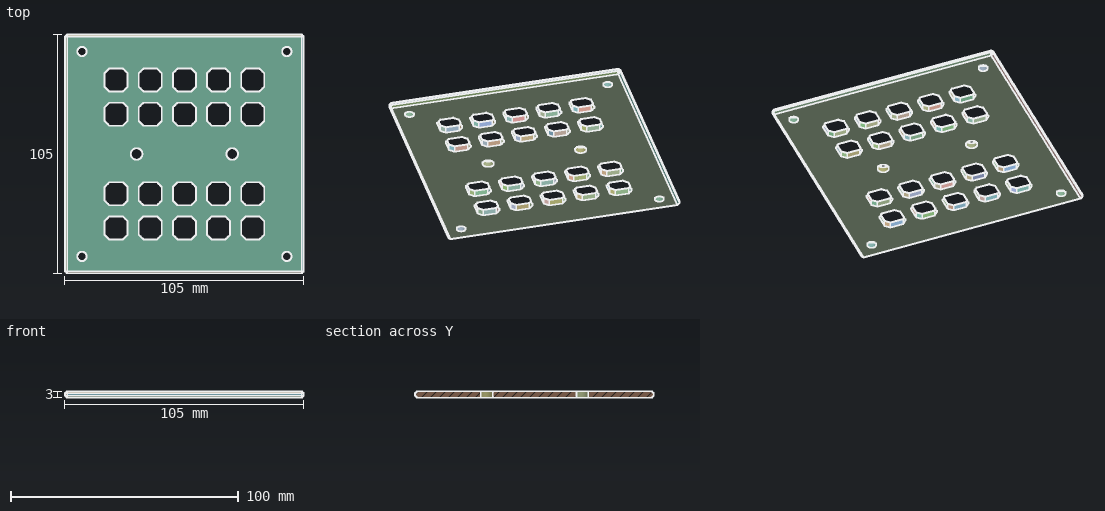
import cadquery as cq

plate_side = 105.0
plate_thickness = 3.0
edge_chamfer = 1.0

corner_hole_diameter = 4.0
corner_hole_inset = 7.5
corner_hole_spacing = plate_side - 2 * corner_hole_inset

center_hole_diameter = 5.0
center_hole_spacing = 42.0

window_side = 10.0
window_corner_chamfer = 2.0
window_pitch = 15.0
window_columns = 5
window_rows_per_bank = 2
bank_center_offset = 25.0


def make_plate():
    """Square plate, centred on the origin, with every outer edge chamfered."""
    plate = cq.Workplane("XY").box(plate_side, plate_side, plate_thickness)
    return plate.edges().chamfer(edge_chamfer)


def make_window_bank(center_y):
    """Cutters for one grid of square windows with clipped corners."""
    return (
        cq.Workplane("XY")
        .center(0, center_y)
        .rarray(window_pitch, window_pitch, window_columns, window_rows_per_bank)
        .rect(window_side, window_side)
        .extrude(plate_thickness, both=True)
        .edges("|Z")
        .chamfer(window_corner_chamfer)
    )


def make_hole_grid(diameter, spacing_x, spacing_y, count_x, count_y):
    """Round through-hole cutters on a grid centred on the plate."""
    return (
        cq.Workplane("XY")
        .rarray(spacing_x, spacing_y, count_x, count_y)
        .circle(diameter / 2)
        .extrude(plate_thickness, both=True)
    )


result = make_plate()

for side in (-1, 1):
    result = result.cut(make_window_bank(side * bank_center_offset))

result = result.cut(
    make_hole_grid(corner_hole_diameter, corner_hole_spacing, corner_hole_spacing, 2, 2)
)
result = result.cut(
    make_hole_grid(center_hole_diameter, center_hole_spacing, center_hole_spacing, 2, 1)
)